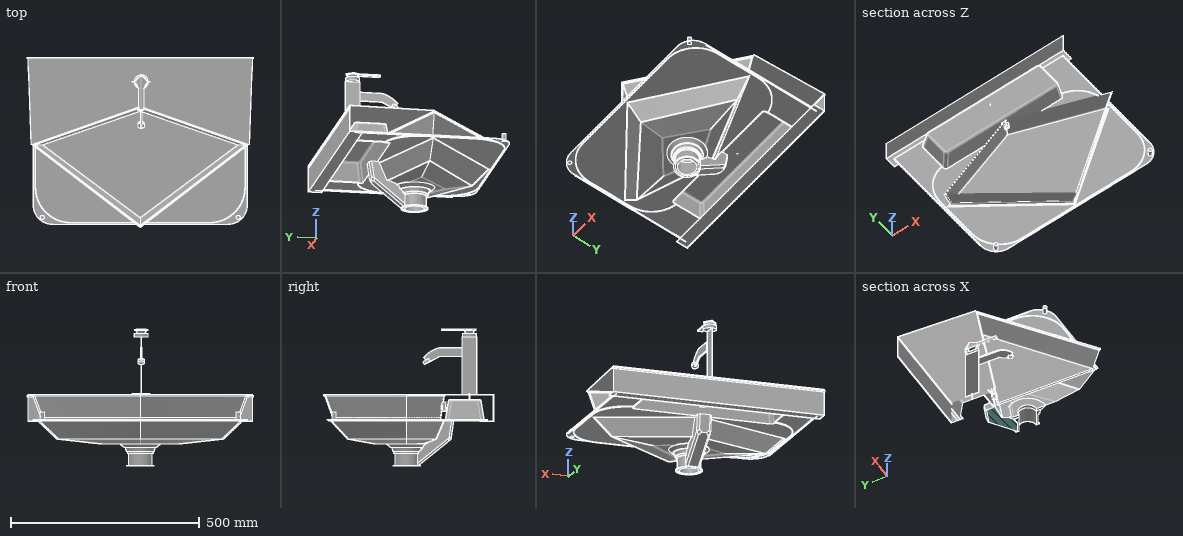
import cadquery as cq
import math

OVERALL_WIDTH = 599.86
OVERALL_HEIGHT = 363.91
BASIN_FRONT = -451.12
HANDLE_TOP = 173.5
DRAIN_BOTTOM = HANDLE_TOP - OVERALL_HEIGHT
SHEET = 1.5

SIDE_CORNER_Y = -231.0
RIM_KITE = (287.0, -130.0, BASIN_FRONT)
WALL_TOP_KITE = (285.0, -131.0, -448.5)
WALL_BASE_KITE = (264.0, -140.0, -428.0)
PAN_TOP_KITE = (272.0, -131.0, -433.0)
PAN_KNEE_KITE = (221.0, -152.0, -388.0)
PAN_FLOOR_KITE = (105.0, -185.0, -316.0)

WALL = 2.5
RIM_EDGE = 0.8
RIM_DEPTH = 4.0
BOWL_FLOOR = -61.0
DECK_BACK_HALF = 298.0
DECK_SIDE_HALF = 290.0
EAR_DEPTH = 2.0
EAR_TOP = -3.0
EAR_HEIGHT = 4.0
LIP_DEPTH = 36.0
FITTING_WIDTH = 16.0
FITTING_BACK = -126.5
FITTING_FRONT = -137.0
FITTING_TOP = -20.0
FITTING_BOTTOM = -45.0
OVERFLOW_RADIUS = 7.0

TRAY_TOP = -66.5
DISH_DEPTH = 2.5
DISH_FLOOR = TRAY_TOP - DISH_DEPTH
TRAY_BOTTOM = DISH_FLOOR - SHEET
SKIRT_DROP = 0.5
SKIRT_BOTTOM = TRAY_BOTTOM - SKIRT_DROP
TRAY_HALF_WIDTH = 284.5
TRAY_BACK = -17.0
TRAY_FRONT = -443.0
TRAY_CORNER = 52.0
SKIRT_LENGTH = 370.0
DISH_HALF_WIDTH = 279.0
DISH_BACK = -113.0
DISH_FRONT = -439.0
DISH_CORNER = 95.0
SEAT_WIDTH = 8.0
HUMP_TOP = -14.0
HUMP_HALF_WIDTH = 200.0
HUMP_BACK = -25.0
HUMP_FRONT = -129.0
HUMP_DRAFT = 9.0
HUMP_CORNER = 9.0
HUMP_EDGE = 4.0
PAN_KNEE = -119.0
PAN_FLOOR = -132.0
FUNNEL_BOTTOM = -141.0
FUNNEL_TOP_RADIUS = 54.0
FUNNEL_BOTTOM_RADIUS = 43.0

DRAIN_BORE = 26.0
DRAIN_NECK_RADIUS = 40.0
DRAIN_SEAL_RADIUS = 37.0
DRAIN_COLLAR_RADIUS = 34.5
DRAIN_TAIL_RADIUS = 31.5
DRAIN_FLANGE_RADIUS = 36.0
COLLAR_TOP = -152.0
COLLAR_BOTTOM = -157.0
DRAIN_FLANGE = 1.5

DUCT_WIDTH = 40.0
DUCT_CHAMFER = 6.0
DUCT_KNEE_BACK = -113.0
DUCT_TOP_BACK = -106.0

PIN_X = 260.0
PIN_Y = -424.0
PIN_RADIUS = 5.5
PIN_TOP = -47.0

FAUCET_X = 2.5
FAUCET_Y = -64.5
COLUMN_DEPTH = 40.0
COLUMN_THICKNESS = 1.2
COLUMN_TOP = 152.0
COLLAR_RADIUS = 18.5
FOOT_LENGTH = 48.0
FOOT_HEIGHT = 2.5
STUD_RADIUS = 1.0
HANDLE_BOTTOM = COLUMN_TOP + 10.0
HANDLE_NECK_RADIUS = 10.0
CAP_HALF_WIDTH = 18.0
CAP_FRONT_HALF_WIDTH = 6.5
LEVER_TIP = -139.0
LEVER_WIDTH = 14.0
LEVER_THICKNESS = 4.0
RIDGE_DROP = 1.0
SPOUT_WIDTH = 4.0
SPOUT_TOP = 124.0
SPOUT_BOTTOM = 100.0
SPOUT_BEND_Y = -144.0
SPOUT_CREST = (-166.0, 115.0)
SPOUT_TIP = (-186.0, 98.0)
AERATOR_RADIUS = 9.0
AERATOR_LENGTH = 8.0
AERATOR_SLOPE = 35.0


def kite_wire(kite, z, inset=0.0):
    """Kite outline at height z, moved inward by the inset."""
    half_width, back, front = kite
    corners = [(0, back), (half_width, SIDE_CORNER_Y), (0, front), (-half_width, SIDE_CORNER_Y)]
    outline = cq.Workplane("XY", origin=(0, 0, z)).polyline(corners).close()
    if inset:
        outline = outline.offset2D(-inset, "intersection")
    return outline.wires().val()


def kite_loft(top_kite, top, bottom_kite, bottom, inset=0.0):
    wires = [kite_wire(top_kite, top, inset), kite_wire(bottom_kite, bottom, inset)]
    return cq.Workplane(cq.Solid.makeLoft(wires, True))


def box(x_range, y_range, z_range):
    """Axis-aligned box between pairs of limits."""
    sizes = [abs(high - low) for low, high in (x_range, y_range, z_range)]
    lows = [min(limits) for limits in (x_range, y_range, z_range)]
    return cq.Workplane("XY").box(*sizes, centered=False).translate(tuple(lows))


def cylinder(x, y, radius, bottom, top):
    return cq.Workplane("XY", origin=(x, y, bottom)).circle(radius).extrude(top - bottom)


def make_basin():
    deck_outline = [
        (-DECK_BACK_HALF, 0),
        (DECK_BACK_HALF, 0),
        (DECK_SIDE_HALF, SIDE_CORNER_Y),
        (RIM_KITE[0], SIDE_CORNER_Y),
        (0, RIM_KITE[1]),
        (-RIM_KITE[0], SIDE_CORNER_Y),
        (-DECK_SIDE_HALF, SIDE_CORNER_Y),
    ]
    body = cq.Workplane("XY").polyline(deck_outline).close().extrude(-SHEET)

    lip_bottom = SKIRT_BOTTOM - SHEET
    width = (-DECK_BACK_HALF, DECK_BACK_HALF)
    ear_width = (-OVERALL_WIDTH / 2, OVERALL_WIDTH / 2)
    body = body.union(box(width, (-SHEET, 0), (lip_bottom, 0)))
    body = body.union(box(width, (-LIP_DEPTH, 0), (lip_bottom, SKIRT_BOTTOM)))
    body = body.union(box(ear_width, (-EAR_DEPTH, 0), (EAR_TOP - EAR_HEIGHT, EAR_TOP)))

    rim = kite_loft(RIM_KITE, 0, RIM_KITE, -RIM_DEPTH)
    wall = kite_loft(WALL_TOP_KITE, -RIM_DEPTH, WALL_BASE_KITE, BOWL_FLOOR)
    base = kite_loft(WALL_BASE_KITE, BOWL_FLOOR, WALL_BASE_KITE, DISH_FLOOR)
    fitting_half = FITTING_WIDTH / 2
    fitting = box(
        (-fitting_half, fitting_half), (FITTING_FRONT, FITTING_BACK), (FITTING_BOTTOM, FITTING_TOP)
    )
    body = body.union(rim).union(wall).union(base).union(fitting)

    rim_opening = cq.Workplane(cq.Solid.makeLoft(
        [kite_wire(RIM_KITE, 0, RIM_EDGE), kite_wire(WALL_TOP_KITE, -RIM_DEPTH, WALL)], True
    ))
    cavity = kite_loft(WALL_TOP_KITE, -RIM_DEPTH, WALL_BASE_KITE, BOWL_FLOOR, WALL)
    body = body.cut(rim_opening).cut(cavity)

    fitting_middle = (FITTING_TOP + FITTING_BOTTOM) / 2
    overflow_start = FITTING_BACK - SHEET
    overflow = (
        cq.Workplane("XZ", origin=(0, overflow_start, fitting_middle))
        .circle(OVERFLOW_RADIUS)
        .extrude(overflow_start - SIDE_CORNER_Y)
    )
    stud_hole = cylinder(FAUCET_X, FAUCET_Y, STUD_RADIUS, -SHEET, 0)
    return body.cut(overflow).cut(stud_hole)


def dish_block(inset, bottom):
    """Rounded block from the tray top down to the given height."""
    depth = DISH_BACK - DISH_FRONT
    return (
        cq.Workplane("XY", origin=(0, (DISH_BACK + DISH_FRONT) / 2, bottom))
        .rect(2 * (DISH_HALF_WIDTH - inset), depth - 2 * inset)
        .extrude(TRAY_TOP - bottom)
        .edges("|Z")
        .fillet(DISH_CORNER - inset)
    )


def hump_block(inset, bottom):
    """Drafted cover block behind the bowl."""
    depth = HUMP_BACK - HUMP_FRONT
    height = HUMP_TOP - DISH_FLOOR
    draft_angle = math.degrees(math.atan2(HUMP_DRAFT, height))
    block = (
        cq.Workplane("XY", origin=(0, (HUMP_BACK + HUMP_FRONT) / 2, bottom))
        .rect(2 * (HUMP_HALF_WIDTH - inset), depth - 2 * inset)
        .extrude(HUMP_TOP - inset - bottom, taper=draft_angle)
    )
    block = block.edges("not(#Z)").fillet(HUMP_CORNER - inset)
    return block.faces(">Z").edges().fillet(HUMP_EDGE - inset)


def make_pan():
    """Lower pan: two kite tapers and a funnel, all hollow."""
    funnel_profile = [
        (0, PAN_FLOOR + SHEET),
        (FUNNEL_TOP_RADIUS, PAN_FLOOR + SHEET),
        (FUNNEL_TOP_RADIUS, PAN_FLOOR),
        (FUNNEL_BOTTOM_RADIUS, FUNNEL_BOTTOM),
        (0, FUNNEL_BOTTOM),
    ]
    funnel = cq.Workplane("XZ").polyline(funnel_profile).close().revolve(360, (0, 0), (0, 1))
    upper = kite_loft(PAN_TOP_KITE, TRAY_BOTTOM, PAN_KNEE_KITE, PAN_KNEE)
    lower = kite_loft(PAN_KNEE_KITE, PAN_KNEE, PAN_FLOOR_KITE, PAN_FLOOR)
    pan = upper.union(lower).union(funnel.translate((0, SIDE_CORNER_Y, 0)))

    floor = PAN_FLOOR + SHEET
    pan = pan.cut(kite_loft(PAN_TOP_KITE, TRAY_BOTTOM, PAN_KNEE_KITE, PAN_KNEE, WALL))
    pan = pan.cut(kite_loft(PAN_KNEE_KITE, PAN_KNEE, PAN_FLOOR_KITE, floor, WALL))
    return pan.cut(cylinder(0, SIDE_CORNER_Y, DRAIN_BORE, FUNNEL_BOTTOM, floor))


def make_tray():
    flange = (
        box((-TRAY_HALF_WIDTH, TRAY_HALF_WIDTH), (TRAY_FRONT, TRAY_BACK), (TRAY_TOP - SHEET, TRAY_TOP))
        .edges("|Z and <Y")
        .fillet(TRAY_CORNER)
    )
    tray = flange.union(dish_block(0, TRAY_BOTTOM))
    tray = tray.cut(dish_block(SHEET, DISH_FLOOR))
    for side in (-1, 1):
        outer = side * TRAY_HALF_WIDTH
        inner = outer - side * SHEET
        skirt_end = TRAY_BACK - SKIRT_LENGTH
        skirt = box((inner, outer), (skirt_end, TRAY_BACK), (SKIRT_BOTTOM, TRAY_TOP))
        tray = tray.union(skirt)
    tray = tray.union(hump_block(0, DISH_FLOOR))
    tray = tray.cut(hump_block(SHEET, TRAY_BOTTOM))
    opening = kite_loft(WALL_BASE_KITE, DISH_FLOOR, WALL_BASE_KITE, TRAY_BOTTOM, SEAT_WIDTH)
    return tray.cut(opening).union(make_pan())


def make_drain():
    flange_top = DRAIN_BOTTOM + DRAIN_FLANGE
    profile = [
        (DRAIN_BORE, FUNNEL_BOTTOM),
        (DRAIN_NECK_RADIUS, FUNNEL_BOTTOM),
        (DRAIN_SEAL_RADIUS, COLLAR_TOP),
        (DRAIN_COLLAR_RADIUS, COLLAR_TOP),
        (DRAIN_COLLAR_RADIUS, COLLAR_BOTTOM),
        (DRAIN_TAIL_RADIUS, COLLAR_BOTTOM),
        (DRAIN_TAIL_RADIUS, flange_top),
        (DRAIN_FLANGE_RADIUS, flange_top),
        (DRAIN_FLANGE_RADIUS, DRAIN_BOTTOM),
        (DRAIN_BORE, DRAIN_BOTTOM),
    ]
    drain = cq.Workplane("XZ").polyline(profile).close().revolve(360, (0, 0), (0, 1))
    return drain.translate((0, SIDE_CORNER_Y, 0))


def make_overflow_duct(tray, drain):
    """Bent duct fitted against the pan and the drain tail."""
    tail_bottom = DRAIN_BOTTOM + DRAIN_FLANGE
    tail_back = SIDE_CORNER_Y + DRAIN_TAIL_RADIUS
    profile = [
        (DUCT_TOP_BACK, TRAY_BOTTOM),
        (PAN_TOP_KITE[1], TRAY_BOTTOM),
        (PAN_KNEE_KITE[1], PAN_KNEE),
        (PAN_FLOOR_KITE[1], PAN_FLOOR),
        (SIDE_CORNER_Y + FUNNEL_BOTTOM_RADIUS, FUNNEL_BOTTOM),
        (tail_back - WALL, COLLAR_BOTTOM),
        (tail_back - WALL, tail_bottom),
        (tail_back, tail_bottom),
        (DUCT_KNEE_BACK, PAN_KNEE),
    ]
    duct = cq.Workplane("YZ").polyline(profile).close().extrude(DUCT_WIDTH / 2, both=True)
    back_point = (0, (DUCT_TOP_BACK + DUCT_KNEE_BACK) / 2, (TRAY_BOTTOM + PAN_KNEE) / 2)
    slope_point = (0, (tail_back + DUCT_KNEE_BACK) / 2, (tail_bottom + PAN_KNEE) / 2)
    for point in (back_point, slope_point):
        back_face = duct.faces(cq.selectors.NearestToPointSelector(point))
        duct = back_face.edges("not(|X)").chamfer(DUCT_CHAMFER)
    return duct.cut(tray).cut(drain)


def make_pin(side):
    return cylinder(side * PIN_X, PIN_Y, PIN_RADIUS, TRAY_TOP, PIN_TOP)


def make_column():
    """Flat column with a cross foot, a round collar and a mounting stud."""
    half_depth = COLUMN_DEPTH / 2
    half_thickness = COLUMN_THICKNESS / 2
    half_foot = FOOT_LENGTH / 2
    plate = box((-half_thickness, half_thickness), (-half_depth, half_depth), (0, COLUMN_TOP))
    foot = box((-half_foot, half_foot), (-half_thickness, half_thickness), (0, FOOT_HEIGHT))
    collar = cylinder(0, 0, COLLAR_RADIUS, COLUMN_TOP, HANDLE_BOTTOM)
    stud = cylinder(0, 0, STUD_RADIUS, HUMP_TOP, 0)
    return plate.union(foot).union(collar).union(stud).translate((FAUCET_X, FAUCET_Y, 0))


def make_spout():
    """Flat spout: straight arm, curved nose and a round aerator tilted at the tip."""
    start = FAUCET_Y - COLUMN_DEPTH / 2
    slope = math.radians(AERATOR_SLOPE)
    across = (math.sin(slope), -math.cos(slope))
    tip_depth = 2 * AERATOR_RADIUS
    tip_bottom = (SPOUT_TIP[0] + tip_depth * across[0], SPOUT_TIP[1] + tip_depth * across[1])
    tip_middle = ((SPOUT_TIP[0] + tip_bottom[0]) / 2, (SPOUT_TIP[1] + tip_bottom[1]) / 2)
    spout = (
        cq.Workplane("YZ")
        .moveTo(start, SPOUT_TOP)
        .lineTo(SPOUT_BEND_Y, SPOUT_TOP)
        .threePointArc(SPOUT_CREST, SPOUT_TIP)
        .lineTo(*tip_bottom)
        .lineTo(SPOUT_BEND_Y, SPOUT_BOTTOM)
        .lineTo(start, SPOUT_BOTTOM)
        .close()
        .extrude(SPOUT_WIDTH / 2, both=True)
    )
    aerator = cq.Solid.makeCylinder(
        AERATOR_RADIUS, AERATOR_LENGTH, cq.Vector(0, *tip_middle), cq.Vector(0, *across)
    )
    return spout.union(cq.Workplane(aerator)).translate((FAUCET_X, 0, 0))


def make_handle():
    """Five-sided cap on a flared neck, with a lever to the front, both ridged along Y."""
    cap_bottom = HANDLE_TOP - LEVER_THICKNESS
    cap_front = -CAP_HALF_WIDTH
    cap_outline = [
        (0, CAP_HALF_WIDTH),
        (CAP_HALF_WIDTH, 0),
        (CAP_FRONT_HALF_WIDTH, cap_front),
        (-CAP_FRONT_HALF_WIDTH, cap_front),
        (-CAP_HALF_WIDTH, 0),
    ]
    cap = cq.Workplane("XY", origin=(0, 0, cap_bottom)).polyline(cap_outline).close()
    cap = cap.extrude(LEVER_THICKNESS)
    lever_half = LEVER_WIDTH / 2
    lever_tip = LEVER_TIP - FAUCET_Y
    cap = cap.union(box((-lever_half, lever_half), (lever_tip, 0), (cap_bottom, HANDLE_TOP)))

    roof_edge = HANDLE_TOP - RIDGE_DROP
    roof_outline = [
        (-CAP_HALF_WIDTH, cap_bottom),
        (-CAP_HALF_WIDTH, roof_edge),
        (0, HANDLE_TOP),
        (CAP_HALF_WIDTH, roof_edge),
        (CAP_HALF_WIDTH, cap_bottom),
    ]
    roof = cq.Workplane("XZ").polyline(roof_outline).close().extrude(-lever_tip, both=True)
    cap = cap.intersect(roof)

    neck = (
        cq.Workplane("XY", origin=(0, 0, HANDLE_BOTTOM))
        .circle(HANDLE_NECK_RADIUS)
        .workplane(offset=cap_bottom - HANDLE_BOTTOM)
        .circle(CAP_HALF_WIDTH - LEVER_THICKNESS)
        .loft()
    )
    return cap.union(neck).translate((FAUCET_X, FAUCET_Y, 0))


basin = make_basin()
tray = make_tray()
drain = make_drain()
overflow_duct = make_overflow_duct(tray, drain)
pins = [make_pin(side) for side in (-1, 1)]
column = make_column()
spout = make_spout()
handle = make_handle()

result = cq.Compound.makeCompound([
    basin.val(),
    tray.val(),
    drain.val(),
    overflow_duct.val(),
    *[pin.val() for pin in pins],
    column.val(),
    spout.val(),
    handle.val(),
])